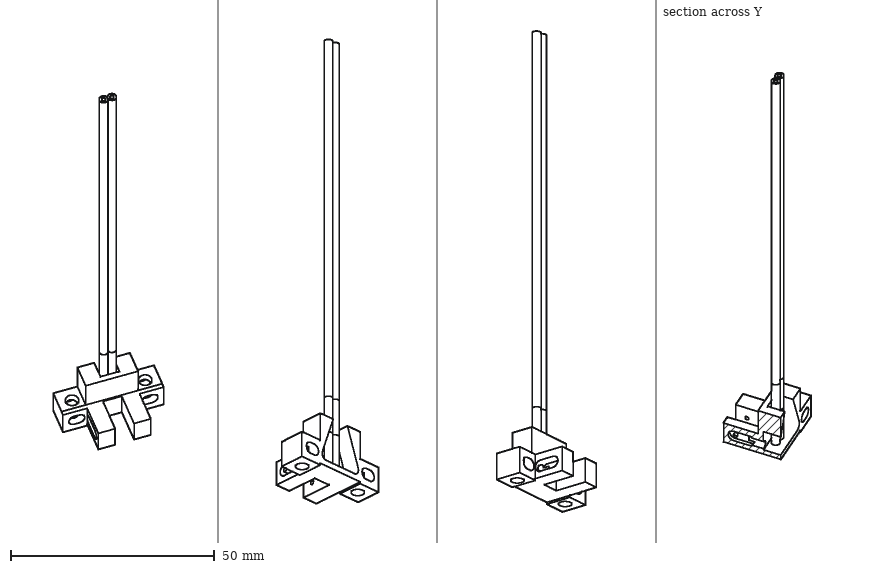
import cadquery as cq
import math

OVERALL_X = 15.5
OVERALL_Y = 26.2
OVERALL_Z = 122.0
FLANGE_X = 7.2
FLANGE_TOP = 7.0
FRONT_STEP = 0.06
FRONT_TOP = FLANGE_TOP - FRONT_STEP
COLUMN_X = 6.1
COLUMN_TOP = 14.5
COLUMN_HALF_Y = 6.8
FOOT_HEIGHT = 0.5

GAP_HALF_Y = 2.5
GAP_FLOOR_X = 6.5

AXIS_Z = 3.5

MOUNT_Y = 9.5
MOUNT_SLOT_LENGTH = 4.2
MOUNT_SLOT_HEIGHT = 3.0
MOUNT_HOLE_X = 3.7
MOUNT_HOLE_DIAMETER = 3.3

CHANNEL_DEPTH = 4.6
CHANNEL_TOP_HALF_Y = GAP_HALF_Y
CHANNEL_CORNER_RADIUS = 1.5
CHANNEL_FLOOR = AXIS_Z - CHANNEL_CORNER_RADIUS

BORE_Y = 4.8
BORE_RADIUS = 1.1
BORE_END_X = 9.0

POCKET_START_X = FLANGE_X
POCKET_END_X = 14.2
POCKET_HEIGHT = 2.9
POCKET_DEPTH = 2.9
POCKET_FLOOR_Y = COLUMN_HALF_Y - POCKET_DEPTH

LIGHT_X = 12.5
LIGHT_DIAMETER = 1.0

WIRE_DIAMETER = 2.2
WIRE_X = 3.0
WIRE_OFFSET_Y = 1.09
SHORT_SECTION_LENGTH = 10.0
LOWER_JOINT_Z = CHANNEL_FLOOR + SHORT_SECTION_LENGTH
UPPER_JOINT_Z = LOWER_JOINT_Z + SHORT_SECTION_LENGTH
SECTION_LEVELS = [CHANNEL_FLOOR, LOWER_JOINT_Z, UPPER_JOINT_Z, OVERALL_Z]

CORE_DIAMETER = 1.0
CORE_RECESS_DEPTH = 0.1


def block(x_range, y_range, z_range):
    sizes = [end - start for start, end in (x_range, y_range, z_range)]
    corner = (x_range[0], y_range[0], z_range[0])
    return cq.Workplane("XY").box(*sizes, centered=False).translate(corner)


def rod_along_y(start_y, length):
    return (
        cq.Workplane("XZ", origin=(LIGHT_X, start_y, AXIS_Z))
        .circle(LIGHT_DIAMETER / 2)
        .extrude(-length)
    )


def housing_blank():
    full_y = (-OVERALL_Y / 2, OVERALL_Y / 2)
    column_y = (-COLUMN_HALF_Y, COLUMN_HALF_Y)
    flange = block((0, COLUMN_X), full_y, (0, FLANGE_TOP))
    front_strip = block((COLUMN_X, FLANGE_X), full_y, (0, FRONT_TOP))
    foot_relief = block((0, FLANGE_X), column_y, (0, FOOT_HEIGHT))
    column = block((0, COLUMN_X), column_y, (FOOT_HEIGHT, COLUMN_TOP))
    arms = block((COLUMN_X, OVERALL_X), column_y, (FOOT_HEIGHT, FRONT_TOP))
    gap = block((GAP_FLOOR_X, OVERALL_X), (-GAP_HALF_Y, GAP_HALF_Y), (FOOT_HEIGHT, FRONT_TOP))
    return flange.union(front_strip).cut(foot_relief).union(column).union(arms).cut(gap)


def cut_mounting_holes(body):
    for side in (-1, 1):
        slot = (
            cq.Workplane("YZ", origin=(0, side * MOUNT_Y, AXIS_Z))
            .slot2D(MOUNT_SLOT_LENGTH, MOUNT_SLOT_HEIGHT)
            .extrude(FLANGE_X)
        )
        hole = (
            cq.Workplane("XY", origin=(MOUNT_HOLE_X, side * MOUNT_Y, 0))
            .circle(MOUNT_HOLE_DIAMETER / 2)
            .extrude(FLANGE_TOP)
        )
        body = body.cut(slot).cut(hole)
    return body


def cable_channel():
    run = BORE_Y - CHANNEL_TOP_HALF_Y
    rise = COLUMN_TOP - AXIS_Z
    angle_to_wall_top = math.atan2(rise, -run)
    tangent_angle = angle_to_wall_top - math.acos(CHANNEL_CORNER_RADIUS / math.hypot(run, rise))
    middle_angle = (tangent_angle - math.pi / 2) / 2

    def corner_point(angle, side):
        y = BORE_Y + CHANNEL_CORNER_RADIUS * math.cos(angle)
        z = AXIS_Z + CHANNEL_CORNER_RADIUS * math.sin(angle)
        return side * y, z

    return (
        cq.Workplane("YZ")
        .moveTo(-CHANNEL_TOP_HALF_Y, COLUMN_TOP)
        .lineTo(*corner_point(tangent_angle, -1))
        .threePointArc(corner_point(middle_angle, -1), (-BORE_Y, CHANNEL_FLOOR))
        .lineTo(BORE_Y, CHANNEL_FLOOR)
        .threePointArc(corner_point(middle_angle, 1), corner_point(tangent_angle, 1))
        .lineTo(CHANNEL_TOP_HALF_Y, COLUMN_TOP)
        .close()
        .extrude(CHANNEL_DEPTH)
    )


def lead_bore(side):
    return (
        cq.Workplane("YZ", origin=(0, side * BORE_Y, AXIS_Z))
        .circle(BORE_RADIUS)
        .extrude(BORE_END_X)
    )


def arm_pocket(side):
    middle_x = (POCKET_START_X + POCKET_END_X) / 2
    return (
        cq.Workplane("XZ", origin=(middle_x, side * COLUMN_HALF_Y, AXIS_Z))
        .slot2D(POCKET_END_X - POCKET_START_X, POCKET_HEIGHT)
        .extrude(side * POCKET_DEPTH)
    )


def make_housing():
    body = cut_mounting_holes(housing_blank()).cut(cable_channel())
    for side in (-1, 1):
        body = body.cut(lead_bore(side)).cut(arm_pocket(side))
    window = rod_along_y(-POCKET_FLOOR_Y, POCKET_FLOOR_Y - GAP_HALF_Y)
    source_pin = rod_along_y(POCKET_FLOOR_Y, POCKET_DEPTH)
    return body.cut(window).union(source_pin)


def wire_cylinders(diameter, bottom, top):
    return (
        cq.Workplane("XY", origin=(WIRE_X, 0, bottom))
        .pushPoints([(0, -WIRE_OFFSET_Y), (0, WIRE_OFFSET_Y)])
        .circle(diameter / 2)
        .extrude(top - bottom)
    )


def make_cable_section(bottom, top):
    section = wire_cylinders(WIRE_DIAMETER, bottom, top)
    if top == OVERALL_Z:
        section = section.cut(wire_cylinders(CORE_DIAMETER, top - CORE_RECESS_DEPTH, top))
    return section


housing = make_housing()
cable_sections = [
    make_cable_section(bottom, top)
    for bottom, top in zip(SECTION_LEVELS[:-1], SECTION_LEVELS[1:])
]
result = cq.Compound.makeCompound([housing.val(), *[section.val() for section in cable_sections]])